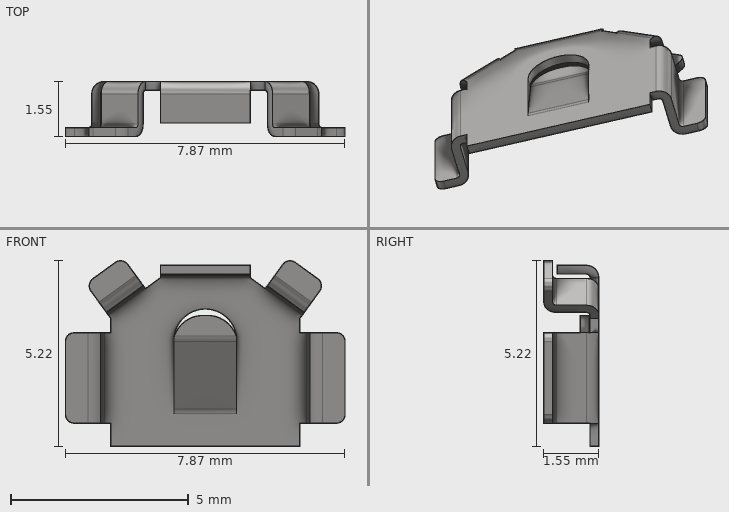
import cadquery as cq
import math

sheet = 0.25
inner_radius = 0.1
outer_radius = inner_radius + sheet
width = 7.87
depth = 1.55

plate_half_width = 2.66

foot_reach = 1.09
foot_corner_radius = 0.25
foot_overlap = 0.315
wing_bottom = 0.645
wing_height = 2.55
wing_bend_x = width / 2 - foot_reach
ear_width = 1.28
ear_slope = 36.0
ear_center_x = 2.2

tab_half_width = 1.27
tab_top = 5.09
tab_length = 1.17
tab_bend_z = tab_top - outer_radius

tongue_half_width = 0.88
slot_bottom = 0.92
slot_top = 3.86
tongue_top = 3.68
tip_half_flat = 0.055
tip_radius = 0.865
tongue_slope = 7.7
tongue_inner_radius = 0.9
ramp_length = 1.93

slope_tangent = math.tan(math.radians(ear_slope))
plate_side_top = tab_bend_z - (plate_half_width - tab_half_width) * slope_tangent
ear_center_z = tab_bend_z - (ear_center_x - tab_half_width) * slope_tangent


def make_plate():
    """Flat plate with two sloping upper corners and an arched slot."""
    right_side = [
        (plate_half_width, 0),
        (plate_half_width, plate_side_top),
        (tab_half_width, tab_bend_z),
    ]
    left_side = [(-x, z) for x, z in reversed(right_side)]
    plate = cq.Workplane("XZ").polyline(right_side + left_side).close().extrude(sheet)
    arch_spring = slot_top - tongue_half_width
    slot = (
        cq.Workplane("XZ")
        .moveTo(-tongue_half_width, slot_bottom)
        .lineTo(tongue_half_width, slot_bottom)
        .lineTo(tongue_half_width, arch_spring)
        .threePointArc((0, slot_top), (-tongue_half_width, arch_spring))
        .close()
        .extrude(sheet)
    )
    return plate.cut(slot)


def make_foot(foot_width):
    """Stepped tab running toward +X, first bend starting at X = 0, centered on Z = 0."""
    web_end = -depth + outer_radius
    sole_start = outer_radius + inner_radius
    return (
        cq.Workplane("XY")
        .moveTo(-foot_overlap, 0)
        .lineTo(0, 0)
        .radiusArc((outer_radius, -outer_radius), outer_radius)
        .lineTo(outer_radius, web_end)
        .radiusArc((sole_start, -depth + sheet), -inner_radius)
        .lineTo(foot_reach, -depth + sheet)
        .lineTo(foot_reach, -depth)
        .lineTo(sole_start, -depth)
        .radiusArc((inner_radius, web_end), outer_radius)
        .lineTo(inner_radius, -outer_radius)
        .radiusArc((0, -sheet), -inner_radius)
        .lineTo(-foot_overlap, -sheet)
        .close()
        .extrude(foot_width / 2, both=True)
        .edges("|Y")
        .edges(">X")
        .fillet(foot_corner_radius)
    )


def make_top_tab():
    """Tab rising from the plate's top edge and bent forward."""
    return (
        cq.Workplane("YZ")
        .moveTo(0, tab_bend_z)
        .radiusArc((-outer_radius, tab_top), -outer_radius)
        .lineTo(-tab_length, tab_top)
        .lineTo(-tab_length, tab_top - sheet)
        .lineTo(-outer_radius, tab_top - sheet)
        .radiusArc((-sheet, tab_bend_z), inner_radius)
        .close()
        .extrude(tab_half_width, both=True)
    )


def make_tongue():
    """Gently stepped tongue with a rounded tip."""
    rise = math.sin(math.radians(tongue_slope))
    run = math.cos(math.radians(tongue_slope))
    tongue_outer_radius = tongue_inner_radius + sheet
    radius_sum = tongue_inner_radius + tongue_outer_radius
    step = radius_sum * (1 - run) + ramp_length * rise
    ramp_top = slot_bottom + radius_sum * rise + ramp_length * run

    def lower_bend_end(radius):
        center_y = -sheet - tongue_inner_radius
        return (center_y + radius * run, slot_bottom + radius * rise)

    def upper_bend_start(radius):
        center_y = -step + tongue_inner_radius
        return (center_y - radius * run, ramp_top - radius * rise)

    strip = (
        cq.Workplane("YZ")
        .moveTo(0, slot_bottom)
        .radiusArc(lower_bend_end(tongue_outer_radius), -tongue_outer_radius)
        .lineTo(*upper_bend_start(tongue_inner_radius))
        .radiusArc((-step, ramp_top), tongue_inner_radius)
        .lineTo(-step, tongue_top)
        .lineTo(-step - sheet, tongue_top)
        .lineTo(-step - sheet, ramp_top)
        .radiusArc(upper_bend_start(tongue_outer_radius), -tongue_outer_radius)
        .lineTo(*lower_bend_end(tongue_inner_radius))
        .radiusArc((-sheet, slot_bottom), tongue_inner_radius)
        .close()
        .extrude(tongue_half_width, both=True)
    )
    tip_arc_center_z = tongue_top - tip_radius
    tip_arc_width = tongue_half_width - tip_half_flat
    shoulder = tip_arc_center_z + math.sqrt(tip_radius**2 - tip_arc_width**2)
    rounded_outline = (
        cq.Workplane("XZ")
        .moveTo(-tongue_half_width, slot_bottom)
        .lineTo(tongue_half_width, slot_bottom)
        .lineTo(tongue_half_width, shoulder)
        .radiusArc((tip_half_flat, tongue_top), -tip_radius)
        .lineTo(-tip_half_flat, tongue_top)
        .radiusArc((-tongue_half_width, shoulder), -tip_radius)
        .close()
        .extrude(depth)
    )
    return strip.intersect(rounded_outline)


wing = make_foot(wing_height).translate((wing_bend_x, 0, wing_bottom + wing_height / 2))
ear = (
    make_foot(ear_width)
    .rotate((0, 0, 0), (0, 1, 0), ear_slope - 90)
    .translate((ear_center_x, 0, ear_center_z))
)

result = make_plate().union(make_top_tab()).union(make_tongue())
for foot in (wing, ear):
    result = result.union(foot).union(foot.mirror("YZ"))